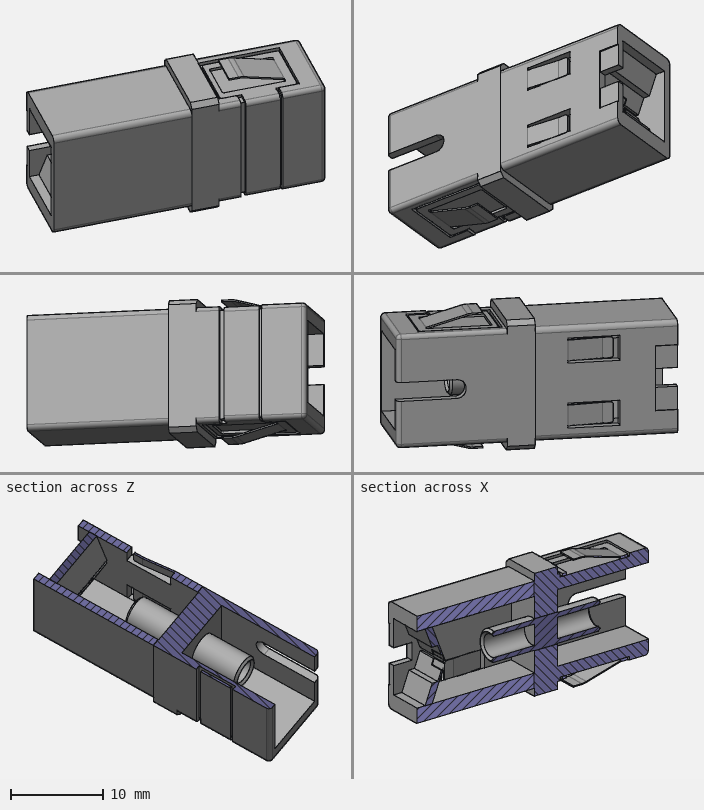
import cadquery as cq
import math

LENGTH = 31.0
WIDTH = 9.55
BODY_HEIGHT = 12.77
HALF_W = WIDTH / 2
HALF_H = BODY_HEIGHT / 2
FRONT_EDGE_R = 0.62
REAR_EDGE_R = 0.5

FLANGE_Y = 15.72
FLANGE_THICK = 3.1
FLANGE_HEIGHT = 14.63
FLANGE_CHAMFER = 0.55
FLANGE_REAR_Y = FLANGE_Y + FLANGE_THICK

CAVITY_W = 7.55
CAVITY_H = 9.05
CAVITY_HALF_H = CAVITY_H / 2
WALL_X = (WIDTH - CAVITY_W) / 2

SLOT_HALF_H = 1.05
REAR_SLOT_CENTER_Y = 24.4
FRONT_SLOT_DEPTH = 2.45
FRONT_RECESS_H = 7.3
FRONT_RECESS_DEPTH = 0.15

WINDOW_Y0, WINDOW_Y1 = 6.4, 12.12
WINDOW_H = 2.82
WINDOW_Z = 3.65
FINGER_H = 2.32
FINGER_TIP_Y = 7.05
FINGER_BEND_Y = 8.25
FINGER_DROP = 0.4
FINGER_THICK = 0.28
FINGER_CORNER_R = 0.28

SLEEVE_R = 1.92
SLEEVE_BORE_R = 1.33
SLEEVE_REAR_Y = 24.55
SLEEVE_MID_Y = FLANGE_Y + FLANGE_THICK / 2
SLEEVE_HALF_LENGTH = SLEEVE_REAR_Y - SLEEVE_MID_Y
SLEEVE_CHAMFER = 0.28

DOOR_FOOT_Y = 1.1
DOOR_STEP_Z = 2.1
DOOR_TIP_Z = 0.22
DOOR_SLOPE = 0.39
DOOR_STEP = 0.75
DOOR_THICK = 0.28
DOOR_POCKET_W = 2.6
DOOR_POCKET_Z = 0.9
DOOR_POCKET_DEPTH = 0.12

CLIP_THICK = 0.3
CLIP_SINK = 0.1
CLIP_BEND_R = 0.53
PLATE_TOP = HALF_H - CLIP_SINK
PLATE_UNDER = PLATE_TOP - CLIP_THICK
PLATE_X0, PLATE_X1 = -3.32, 3.22
PLATE_Y0, PLATE_Y1 = 19.47, 28.25
PLATE_CORNER_R = 0.28
CLIP_WINDOW_X0, CLIP_WINDOW_X1 = -2.4, 2.3
CLIP_WINDOW_Y0, CLIP_WINDOW_Y1 = 20.03, 27.22
CLIP_WINDOW_R = 0.2
BRIDGE_Y0, BRIDGE_Y1 = 21.9, 25.8
ARM_X0, ARM_X1 = -1.9, 1.77
ARM_TOP_Z = 7.63
ARM_END_Y = 20.92
ARM_BEND_Y0, ARM_BEND_Y1 = 22.0, 22.63
ARM_THICK = 0.2

RECESS_X0, RECESS_X1 = -3.7, 3.32
RECESS_Y0, RECESS_Y1 = 19.15, 28.43
GROOVE_DEPTH = 0.53
GROOVE_Y0, GROOVE_Y1 = 21.33, 26.07


def block(x0, x1, y0, y1, z0, z1):
    """Axis-aligned box between two corners."""
    return cq.Workplane("XY").box(x1 - x0, y1 - y0, z1 - z0, centered=False).translate((x0, y0, z0))


def mid_block(width, height, y0, y1):
    """Box centred on the Y axis."""
    return block(-width / 2, width / 2, y0, y1, -height / 2, height / 2)


def mirrored_in_z(shape):
    return shape.mirror("XY")


def finger():
    """Upper latch finger: rooted at the rear of its window and sloping inward to the tip."""
    tip_x = -HALF_W + FINGER_DROP
    profile = [
        (-HALF_W, WINDOW_Y1),
        (tip_x, FINGER_BEND_Y),
        (tip_x, FINGER_TIP_Y),
        (tip_x + FINGER_THICK, FINGER_TIP_Y),
        (tip_x + FINGER_THICK, FINGER_BEND_Y),
        (-HALF_W + FINGER_THICK, WINDOW_Y1),
    ]
    strip = cq.Workplane("XY").polyline(profile).close().extrude(FINGER_H / 2, both=True)
    strip = strip.edges("|X and <Y").fillet(FINGER_CORNER_R)
    return strip.translate((0, 0, WINDOW_Z))


def make_front_housing():
    body = mid_block(WIDTH, BODY_HEIGHT, 0, FLANGE_Y).edges("|Y").fillet(FRONT_EDGE_R)
    body = body.cut(mid_block(CAVITY_W, CAVITY_H, 0, FLANGE_Y))
    recess_x = -HALF_W + FRONT_RECESS_DEPTH
    body = body.cut(block(-HALF_W, recess_x, 0, FRONT_SLOT_DEPTH, -FRONT_RECESS_H / 2, FRONT_RECESS_H / 2))
    body = body.cut(block(-HALF_W, -HALF_W + WALL_X, 0, FRONT_SLOT_DEPTH, -SLOT_HALF_H, SLOT_HALF_H))
    window = block(-HALF_W, -HALF_W + WALL_X, WINDOW_Y0, WINDOW_Y1,
                   WINDOW_Z - WINDOW_H / 2, WINDOW_Z + WINDOW_H / 2)
    for opening in (window, mirrored_in_z(window)):
        body = body.cut(opening)
    for latch in (finger(), mirrored_in_z(finger())):
        body = body.union(latch)
    return body


def rear_slot():
    """Round-ended slot through the -X wall, open at the rear end."""
    straight = block(-HALF_W, -HALF_W + WALL_X, REAR_SLOT_CENTER_Y, LENGTH, -SLOT_HALF_H, SLOT_HALF_H)
    end = cq.Workplane("YZ", origin=(-HALF_W, 0, 0)).center(REAR_SLOT_CENTER_Y, 0)
    return straight.union(end.circle(SLOT_HALF_H).extrude(WALL_X))


def clip_recess():
    """Pockets above and below, joined by a groove down the +X side."""
    pocket = block(RECESS_X0, RECESS_X1, RECESS_Y0, RECESS_Y1, PLATE_UNDER, HALF_H)
    channel = block(RECESS_X1, HALF_W, GROOVE_Y0, GROOVE_Y1, PLATE_UNDER, HALF_H)
    groove = block(HALF_W - GROOVE_DEPTH, HALF_W, GROOVE_Y0, GROOVE_Y1, -HALF_H, HALF_H)
    upper = pocket.union(channel)
    return upper.union(groove).union(mirrored_in_z(upper))


def make_rear_housing():
    body = mid_block(WIDTH, BODY_HEIGHT, FLANGE_Y, LENGTH)
    body = body.edges("|Y or >Y").fillet(REAR_EDGE_R)
    flange = mid_block(WIDTH, FLANGE_HEIGHT, FLANGE_Y, FLANGE_REAR_Y)
    body = body.union(flange.edges("|Y").chamfer(FLANGE_CHAMFER))
    body = body.cut(mid_block(CAVITY_W, CAVITY_H, FLANGE_REAR_Y, LENGTH))
    sleeve_hole = cq.Workplane("XZ", origin=(0, FLANGE_Y, 0)).circle(SLEEVE_R).extrude(-FLANGE_THICK)
    return body.cut(sleeve_hole).cut(rear_slot()).cut(clip_recess())


def make_sleeve():
    """Tube with a blind bore in each end and a web as thick as the flange between them."""
    tube = cq.Workplane("XZ").circle(SLEEVE_R).extrude(SLEEVE_HALF_LENGTH, both=True)
    bore_depth = SLEEVE_HALF_LENGTH - FLANGE_THICK / 2
    for face in ("<Y", ">Y"):
        tube = tube.faces(face).workplane().circle(SLEEVE_BORE_R).cutBlind(-bore_depth)
        tube = tube.faces(face).edges().chamfer(SLEEVE_CHAMFER)
    return tube.translate((0, SLEEVE_MID_Y, 0))


def make_door():
    """Lower door: a leaning plate with a thicker foot, standing on the cavity floor."""
    def lean(z):
        return (z + CAVITY_HALF_H) * DOOR_SLOPE

    step_y = DOOR_FOOT_Y + lean(-DOOR_STEP_Z)
    plate_foot_y = DOOR_FOOT_Y + DOOR_STEP
    tip_y = plate_foot_y + lean(-DOOR_TIP_Z)
    profile = [
        (DOOR_FOOT_Y, -CAVITY_HALF_H),
        (step_y, -DOOR_STEP_Z),
        (step_y + DOOR_STEP, -DOOR_STEP_Z),
        (tip_y, -DOOR_TIP_Z),
        (tip_y + DOOR_THICK, -DOOR_TIP_Z),
        (plate_foot_y + DOOR_THICK, -CAVITY_HALF_H),
    ]
    door = cq.Workplane("YZ").polyline(profile).close().extrude(CAVITY_W / 2, both=True)
    pocket_y = plate_foot_y + lean(-DOOR_POCKET_Z)
    pocket = [
        (pocket_y, -DOOR_POCKET_Z),
        (tip_y, -DOOR_TIP_Z),
        (tip_y + DOOR_POCKET_DEPTH, -DOOR_TIP_Z),
        (pocket_y + DOOR_POCKET_DEPTH, -DOOR_POCKET_Z),
    ]
    return door.cut(cq.Workplane("YZ").polyline(pocket).close().extrude(DOOR_POCKET_W / 2, both=True))


def spring_arm():
    """Upper arm: rises from the rear edge of the plate window, then bends level."""
    rise = ARM_TOP_Z - PLATE_TOP
    angle = math.atan2(rise, CLIP_WINDOW_Y1 - (ARM_BEND_Y0 + ARM_BEND_Y1) / 2)
    bend_r = (ARM_BEND_Y1 - ARM_BEND_Y0) / math.sin(angle)
    bend_z = ARM_TOP_Z - bend_r * (1 - math.cos(angle))
    half_y = ARM_BEND_Y0 + bend_r * math.sin(angle / 2)
    half_z = ARM_TOP_Z - bend_r * (1 - math.cos(angle / 2))
    strip = (
        cq.Workplane("YZ", origin=(ARM_X0, 0, 0))
        .moveTo(CLIP_WINDOW_Y1, PLATE_TOP)
        .lineTo(ARM_BEND_Y1, bend_z)
        .threePointArc((half_y, half_z), (ARM_BEND_Y0, ARM_TOP_Z))
        .lineTo(ARM_END_Y, ARM_TOP_Z)
        .lineTo(ARM_END_Y, ARM_TOP_Z - ARM_THICK)
        .lineTo(ARM_BEND_Y0, ARM_TOP_Z - ARM_THICK)
        .threePointArc((half_y, half_z - ARM_THICK), (ARM_BEND_Y1, bend_z - ARM_THICK))
        .lineTo(CLIP_WINDOW_Y1, PLATE_TOP - ARM_THICK)
        .close()
    )
    return strip.extrude(ARM_X1 - ARM_X0)


def clip_plate():
    """Upper plate, lying on the pocket floor just below the top face, with its window and spring arm."""
    plate = block(PLATE_X0, PLATE_X1, PLATE_Y0, PLATE_Y1, PLATE_UNDER, PLATE_TOP)
    plate = plate.edges("|Z").fillet(PLATE_CORNER_R)
    window = block(CLIP_WINDOW_X0, CLIP_WINDOW_X1, CLIP_WINDOW_Y0, CLIP_WINDOW_Y1,
                   PLATE_UNDER, PLATE_TOP)
    return plate.cut(window.edges("|Z").fillet(CLIP_WINDOW_R)).union(spring_arm())


def clip_bridge():
    """U-shaped strap around the +X side that joins the two plates."""
    outer = block(PLATE_X1 - PLATE_CORNER_R, HALF_W, BRIDGE_Y0, BRIDGE_Y1, -PLATE_TOP, PLATE_TOP)
    outer = outer.edges(">X and |Y").fillet(CLIP_BEND_R)
    inner = block(-HALF_W, HALF_W - CLIP_THICK, BRIDGE_Y0, BRIDGE_Y1, -PLATE_UNDER, PLATE_UNDER)
    return outer.cut(inner.edges(">X and |Y").fillet(CLIP_BEND_R - CLIP_THICK))


def make_clip():
    return clip_bridge().union(clip_plate()).union(mirrored_in_z(clip_plate()))


front_housing = make_front_housing()
rear_housing = make_rear_housing()
sleeve = make_sleeve()
clip = make_clip()
lower_door = make_door()
doors = [lower_door, mirrored_in_z(lower_door)]

result = cq.Compound.makeCompound([
    front_housing.val(),
    rear_housing.val(),
    sleeve.val(),
    clip.val(),
    *[door.val() for door in doors],
])